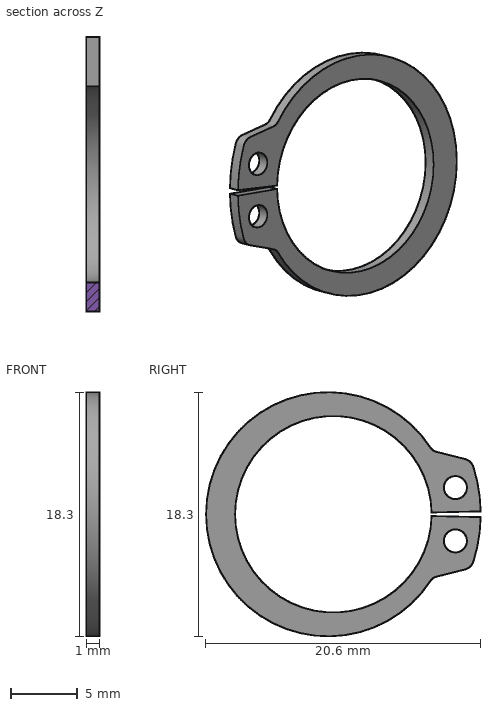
import cadquery as cq
import math

thickness = 1.0
overall_length = 20.6
ring_diameter = 18.31
bore_diameter = 14.7
bore_offset = 0.4

tip_radius = 11.75
lug_side_angle = 14.2
lug_side_y = 9.89
lug_side_z = 4.15
tip_corner_radius = 0.93
root_radius = 0.7

hole_diameter = 1.7
hole_y = 9.15
hole_z = 2.0

gap_at_bore = 0.25
gap_at_tip = 0.41

ring_radius = ring_diameter / 2
bore_radius = bore_diameter / 2
tip_y = overall_length - ring_radius - bore_offset


def plate():
    """Workplane on the -X face of the ring."""
    return cq.Workplane("YZ", origin=(-thickness / 2, 0, 0))


def disc(center_y, center_z, radius):
    return plate().center(center_y, center_z).circle(radius).extrude(thickness)


def tapered_plate(start_y, start_half_width, end_y, end_half_width):
    """Trapezoid along Y, symmetric about Z = 0."""
    outline = [
        (start_y, -start_half_width),
        (end_y, -end_half_width),
        (end_y, end_half_width),
        (start_y, start_half_width),
    ]
    return plate().polyline(outline).close().extrude(thickness)


def lug_half_width(y):
    return lug_side_z + (lug_side_y - y) * math.tan(math.radians(lug_side_angle))


def make_lugs():
    """Both lugs as one tapered block with an arched tip."""
    block = tapered_plate(0, lug_half_width(0), tip_y, lug_half_width(tip_y))
    return block.intersect(disc(tip_y - tip_radius, 0, tip_radius))


def edges_between(y_min, y_max):
    """Selector for the edges whose centres lie in a band along Y."""
    return cq.selectors.BoxSelector(
        (-thickness, y_min, -ring_radius),
        (thickness, y_max, ring_radius),
    )


def make_body():
    """Rim disc joined to the lugs, with the lug corners and roots rounded."""
    body = disc(-bore_offset, 0, ring_radius).union(make_lugs())
    corners = edges_between(lug_side_y, tip_y)
    body = body.edges("|X").edges(corners).fillet(tip_corner_radius)
    roots = edges_between(bore_radius, lug_side_y)
    return body.edges("|X").edges(roots).fillet(root_radius)


def make_gap():
    """Wedge between the lugs, starting where its sides meet the bore wall."""
    gap_start_y = math.sqrt(bore_radius**2 - (gap_at_bore / 2) ** 2)
    return tapered_plate(gap_start_y, gap_at_bore / 2, tip_y, gap_at_tip / 2)


result = make_body().cut(disc(0, 0, bore_radius)).cut(make_gap())
for side in (-1, 1):
    result = result.cut(disc(hole_y, side * hole_z, hole_diameter / 2))